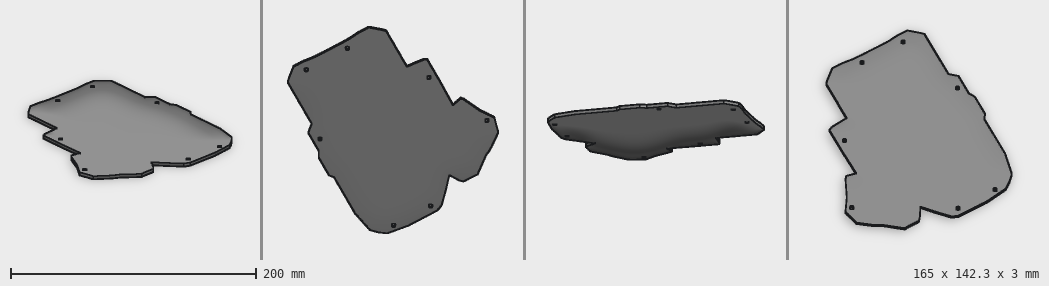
import cadquery as cq

LENGTH = 165.0
WIDTH = 142.3
THICKNESS = 3.0
HOLE_DIAMETER = 3.0

LEFT_WAIST = 1.2
WAIST_END_X = 1.0
CUT_KINK_X = 7.0
CORNER_X = 9.5
LEFT_TOP = 133.2
SHOULDER_TOP = 139.5
LEFT_BOTTOM = 41.5
TONGUE_BOTTOM = 24.0
LOBE_RIGHT = 153.5

left_side = [
    (CORNER_X, LEFT_BOTTOM),
    (CUT_KINK_X, 44.0),
    (0, 52.3),
    (0, 61.9),
    (WAIST_END_X, 71.0),
    (LEFT_WAIST, 78.4),
    (LEFT_WAIST, 96.5),
    (WAIST_END_X, 104.0),
    (0, 113.5),
    (0, 122.5),
    (CUT_KINK_X, 130.5),
    (CORNER_X, LEFT_TOP),
]
top_side = [
    (50.3, LEFT_TOP),
    (55.8, SHOULDER_TOP),
    (73.6, SHOULDER_TOP),
    (78.5, WIDTH),
    (95.7, WIDTH),
    (99.2, SHOULDER_TOP),
    (134.9, SHOULDER_TOP),
]
right_side = [
    (153.2, 135.7),
    (158.5, 130.4),
    (162.6, 124.6),
    (LENGTH, 106.3),
    (LENGTH, 79.0),
    (163.0, 74.0),
    (152.4, 64.0),
    (143.1, 56.0),
]
thumb_lobe = [
    (150.9, 51.2),
    (LOBE_RIGHT, 48.5),
    (LOBE_RIGHT, 38.0),
    (153.8, 35.5),
    (142.5, 21.1),
    (141.0, 18.0),
    (139.0, 14.7),
    (130.4, 3.3),
    (126.1, 2.3),
    (117.5, 0),
    (106.5, 7.5),
    (91.6, 14.4),
    (89.8, 16.0),
    (91.8, 24.5),
]
tongue = [
    (69.5, TONGUE_BOTTOM),
    (47.2, TONGUE_BOTTOM),
    (45.9, 26.7),
    (44.5, LEFT_BOTTOM),
]

HOLE_CENTERS = [
    (7.3, 114.5),
    (7.3, 76.3),
    (64.9, 133.5),
    (159.1, 116.7),
    (159.1, 82.2),
    (61.4, 30.0),
    (116.7, 6.5),
]

outline = left_side + top_side + right_side + thumb_lobe + tongue
plate = cq.Workplane("XY").polyline(outline).close().extrude(THICKNESS)

top_face = plate.faces(">Z").workplane(origin=(0, 0, THICKNESS))
result = top_face.pushPoints(HOLE_CENTERS).hole(HOLE_DIAMETER)